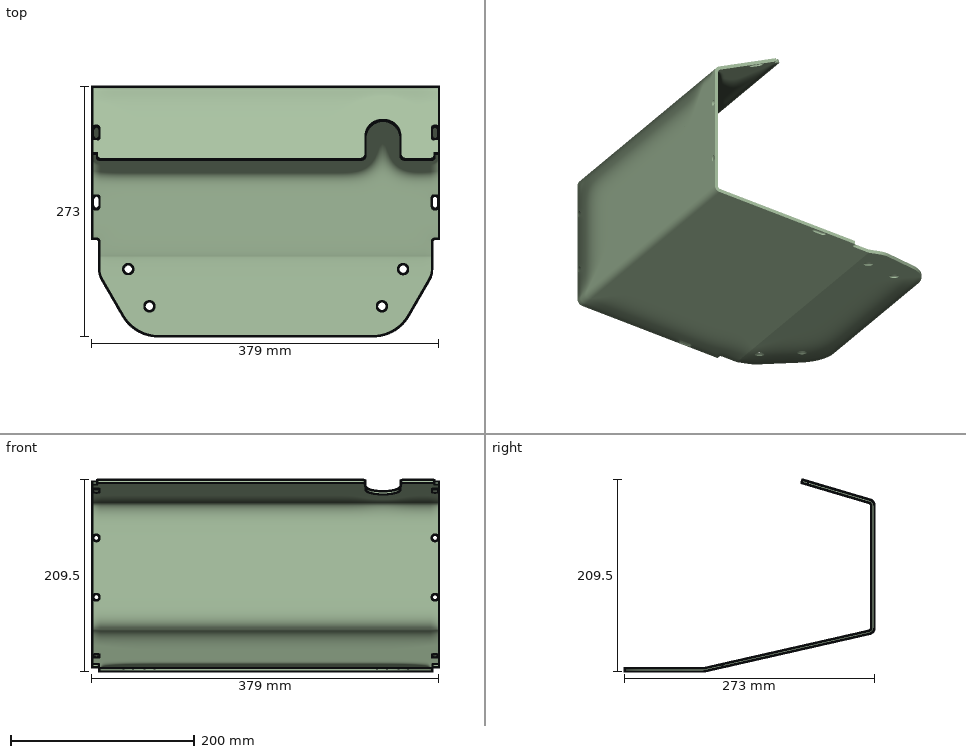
import cadquery as cq
import math

width = 379.0
depth = 273.0
height = 209.5
thickness = 3.8
bend_radius = 3.5

flange_angle = 16.5
flange_length = 82.2
tip_notch_width = 5.3
tip_notch_length = 7.0
tip_corner_radius = 3.0
cutout_x = 128.0
cutout_width = 38.3
cutout_length = 44.5
cutout_mouth_radius = 5.0

plate_angle = 12.8
foot_bend_y = -185.7
shoulder_y = -166.5
shoulder_fillet = 2.5

foot_half_width = 182.0
taper_start_y = -205.5
taper_angle = 30.0
taper_start_radius = 22.7
foot_corner_radius = 45.5
foot_hole_diameter = 10.5
foot_hole_points = [(150.0, -199.5), (127.0, -240.0)]

edge_inset = 4.5
edge_hole_diameter = 7.0
wall_hole_heights = (81.0, 146.0)
edge_slot_length = 15.5
flange_slot_y = -50.0
plate_slot_y = -126.5

half_width = width / 2
flange_rad = math.radians(flange_angle)
plate_rad = math.radians(plate_angle)
flange_rise = math.tan(flange_rad)
plate_rise = math.tan(plate_rad)
flange_corner_z = height - flange_length * math.sin(flange_rad)
cut_depth = 2 * thickness


def make_sheet():
    """Extrude the bent strip across the full width and round the wall bends."""
    tip_y = -flange_length * math.cos(flange_rad)
    tip_inner_y = tip_y - thickness * math.sin(flange_rad)
    tip_inner_z = height - thickness * math.cos(flange_rad)
    flange_inner_z = tip_inner_z + (tip_inner_y + thickness) * flange_rise
    plate_inner_z = thickness + (-thickness - foot_bend_y) * plate_rise
    foot_bend_outer_y = foot_bend_y - thickness * math.tan(plate_rad / 2)
    plate_outer_z = -foot_bend_outer_y * plate_rise

    profile = [
        (-depth, 0),
        (foot_bend_outer_y, 0),
        (0, plate_outer_z),
        (0, flange_corner_z),
        (tip_y, height),
        (tip_inner_y, tip_inner_z),
        (-thickness, flange_inner_z),
        (-thickness, plate_inner_z),
        (foot_bend_y, thickness),
        (-depth, thickness),
    ]
    sheet = cq.Workplane("YZ").polyline(profile).close().extrude(half_width, both=True)

    def bend_edges(y, heights):
        edges = []
        for z in heights:
            edges += sheet.edges(cq.selectors.NearestToPointSelector((0, y, z))).vals()
        return edges

    outer_bends = bend_edges(0, (plate_outer_z, flange_corner_z))
    inner_bends = bend_edges(-thickness, (plate_inner_z, flange_inner_z))
    sheet = sheet.newObject(outer_bends).fillet(bend_radius + thickness)
    return sheet.newObject(inner_bends).fillet(bend_radius)


def vertical_blank():
    """Plan outline with the side shoulders and the tapered, rounded foot."""
    taper_run = (depth + taper_start_y) * math.tan(math.radians(taper_angle))
    front_half_width = foot_half_width - taper_run
    right_side = [
        (half_width, 0),
        (half_width, shoulder_y),
        (foot_half_width, shoulder_y),
        (foot_half_width, taper_start_y),
        (front_half_width, -depth),
    ]
    left_side = [(-x, y) for x, y in reversed(right_side)]
    blank = cq.Workplane("XY").polyline(right_side + left_side).close().extrude(height)

    def round_corners(body, x, y, radius):
        half_box = 0.5
        for side in (-1, 1):
            corner = cq.selectors.BoxSelector(
                (side * x - half_box, y - half_box, 0), (side * x + half_box, y + half_box, height)
            )
            body = body.edges("|Z").edges(corner).fillet(radius)
        return body

    blank = round_corners(blank, foot_half_width, shoulder_y, shoulder_fillet)
    blank = round_corners(blank, foot_half_width, taper_start_y, taper_start_radius)
    return round_corners(blank, front_half_width, -depth, foot_corner_radius)


def on_both_edges(position):
    """Mirrored pair of points at the fixing inset from the side edges."""
    return [(side * (half_width - edge_inset), position) for side in (-1, 1)]


def edge_slots(plane, position):
    """Pair of slots running along the sheet and cutting square through it."""
    slots = cq.Workplane(plane).pushPoints(on_both_edges(position))
    return slots.slot2D(edge_slot_length, edge_hole_diameter, 90).extrude(cut_depth, both=True)


def flange_tip_trim(plane):
    """Waste around the flange tip: the two corner notches and the round-ended cutout."""
    step_y = tip_notch_length - flange_length
    tip_y = -flange_length
    tip_half_width = half_width - tip_notch_width
    cutout_radius = cutout_width / 2
    cutout_left = cutout_x - cutout_radius
    cutout_right = cutout_x + cutout_radius
    arc_y = tip_y + cutout_length - cutout_radius

    def tongue(left, right, left_radius, right_radius):
        return (
            cq.Workplane(plane)
            .moveTo(left, step_y)
            .lineTo(left, tip_y + left_radius)
            .radiusArc((left + left_radius, tip_y), -left_radius)
            .lineTo(right - right_radius, tip_y)
            .radiusArc((right, tip_y + right_radius), -right_radius)
            .lineTo(right, step_y)
            .close()
            .extrude(cut_depth, both=True)
        )

    tip_strip = (
        cq.Workplane(plane)
        .center(0, tip_y)
        .rect(width, 2 * tip_notch_length)
        .extrude(cut_depth, both=True)
    )
    tip_waste = tip_strip.cut(tongue(-tip_half_width, cutout_left, tip_corner_radius, cutout_mouth_radius))
    tip_waste = tip_waste.cut(tongue(cutout_right, tip_half_width, cutout_mouth_radius, tip_corner_radius))
    cutout = (
        cq.Workplane(plane)
        .moveTo(cutout_left, tip_y)
        .lineTo(cutout_left, arc_y)
        .threePointArc((cutout_x, arc_y + cutout_radius), (cutout_right, arc_y))
        .lineTo(cutout_right, tip_y)
        .close()
        .extrude(cut_depth, both=True)
    )
    return tip_waste.union(cutout)


flange_plane = cq.Plane(
    origin=(0, 0, flange_corner_z),
    xDir=(1, 0, 0),
    normal=(0, math.sin(flange_rad), math.cos(flange_rad)),
)
plate_plane = cq.Plane(
    origin=(0, foot_bend_y, thickness),
    xDir=(1, 0, 0),
    normal=(0, -math.sin(plate_rad), math.cos(plate_rad)),
)

wall_hole_points = [point for z in wall_hole_heights for point in on_both_edges(z)]
wall_holes = (
    cq.Workplane("XZ")
    .pushPoints(wall_hole_points)
    .circle(edge_hole_diameter / 2)
    .extrude(cut_depth, both=True)
)

foot_holes = (
    cq.Workplane("XY")
    .pushPoints([(side * x, y) for x, y in foot_hole_points for side in (-1, 1)])
    .circle(foot_hole_diameter / 2)
    .extrude(cut_depth)
)

flange_slot_position = flange_slot_y / math.cos(flange_rad)
plate_slot_position = (plate_slot_y - foot_bend_y) / math.cos(plate_rad)

result = (
    make_sheet()
    .intersect(vertical_blank())
    .cut(flange_tip_trim(flange_plane))
    .cut(edge_slots(flange_plane, flange_slot_position))
    .cut(edge_slots(plate_plane, plate_slot_position))
    .cut(wall_holes)
    .cut(foot_holes)
)